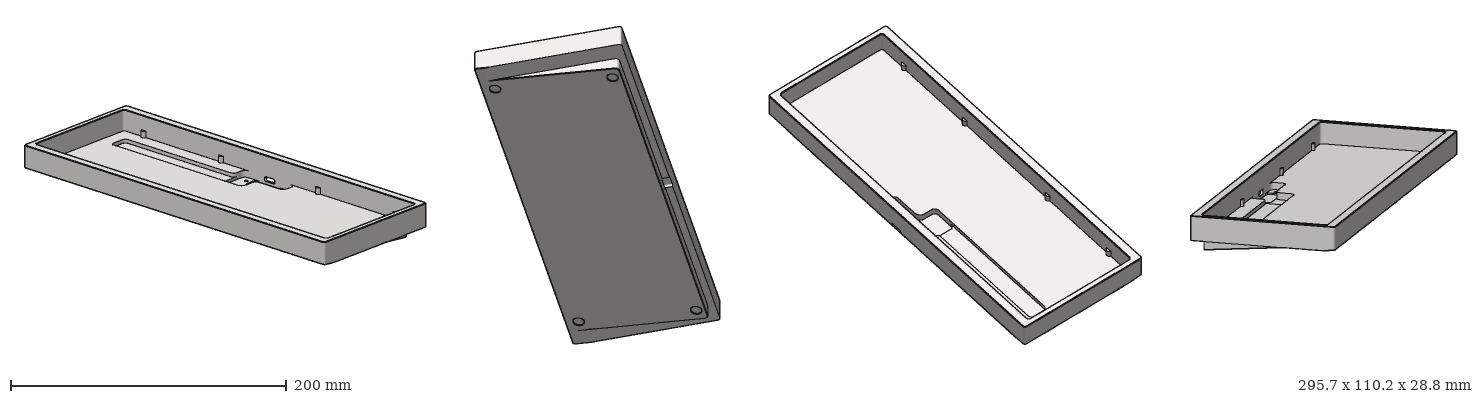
import cadquery as cq
import math

case_length = 295.7
case_width = 110.2
total_height = 28.76
case_corner_radius = 2.0
rim_chamfer = 0.5

side_wall = 4.7
end_wall = 7.4
cavity_depth = 16.5
cavity_corner_radius = 2.0
cavity_length = case_length - 2 * side_wall
cavity_width = case_width - 2 * end_wall
cavity_back = cavity_width / 2
floor_top = total_height - cavity_depth

case_height = 18.6
case_bottom = total_height - case_height
tilt_angle = 6.0
foot_length = 268.4
foot_back_inset = 5.4
foot_corner_radius = 3.0
foot_back = case_width / 2 - foot_back_inset
base_run = foot_back + case_width / 2
base_slope = math.tan(math.radians(tilt_angle))
base_chamfer = 0.5
base_back_z = -base_chamfer * base_slope
plane_tolerance = 0.01

pad_diameter = 8.3
pad_depth = 1.0
pad_spacing_x = 249.4
pad_back_inset = 7.0
pad_front_inset = 10.0

post_radius = 2.4
post_centre_y = 48.2
post_height = 5.0
inner_post_x = 47.7
back_outer_post_x = 123.9
front_outer_post_x = 118.0

board_length = 49.2
board_front = 36.1
board_depth = 5.3
bay_length = 27.8
bay_depth = 6.3
pocket_corner_radius = 3.5
stem_inside_radius = 5.0
screw_diameter = 2.5
screw_spacing = 35.6
screw_y = 42.0
screw_depth = 4.0

stem_right = -3.0
channel_left = -131.5
channel_front = 20.9
channel_depth = 3.0
channel_corner_radius = 3.0

connector_width = 9.8
connector_height = 3.6
connector_corner_radius = 1.0
connector_drop = 2.0


def box(x_min, x_max, y_min, y_max, z_min, z_max):
    """Axis-aligned box given by its limits."""
    blank = cq.Workplane("XY").box(x_max - x_min, y_max - y_min, z_max - z_min, centered=False)
    return blank.translate((x_min, y_min, z_min))


def floor_pocket(x_min, x_max, y_min, y_max, depth):
    """Box that reaches from the tray floor down to the given depth."""
    return box(x_min, x_max, y_min, y_max, floor_top - depth, floor_top)


def make_case():
    """Rectangular case with rounded corners on a wedge foot with a sloped, chamfered base."""
    case = box(-case_length / 2, case_length / 2, -case_width / 2, case_width / 2, case_bottom, total_height)
    case = case.edges("|Z").fillet(case_corner_radius)

    foot = box(-foot_length / 2, foot_length / 2, -case_width / 2, foot_back, base_back_z, case_bottom)
    foot = foot.edges("|Z and >Y").fillet(foot_corner_radius)

    front_z = base_back_z + base_run * base_slope
    below_base = (
        cq.Workplane("YZ")
        .polyline([(foot_back, base_back_z), (-case_width / 2, base_back_z), (-case_width / 2, front_z)])
        .close()
        .extrude(case_length / 2, both=True)
    )
    body = case.union(foot).cut(below_base)

    base_normal = cq.Vector(0, -base_slope, -1)
    base_edges = body.faces(cq.selectors.ParallelDirSelector(base_normal)).edges()
    return base_edges.filter(lambda edge: not lies_in_case_bottom(edge)).chamfer(base_chamfer)


def lies_in_case_bottom(edge):
    """True for an edge centred in the flat underside of the case."""
    return abs(edge.Center().z - case_bottom) < plane_tolerance


def cut_cavity(case):
    """Hollow out the open tray and chamfer the inner and outer edges of its rim."""
    cavity = box(
        -cavity_length / 2, cavity_length / 2, -cavity_back, cavity_back, floor_top, total_height
    )
    cavity = cavity.edges("|Z").fillet(cavity_corner_radius)
    return case.cut(cavity).faces(">Z").edges().chamfer(rim_chamfer)


def make_posts():
    """Round posts sunk more than half way into the long walls."""
    posts = cq.Workplane("XY", origin=(0, 0, floor_top))
    for y, outer_x in ((post_centre_y, back_outer_post_x), (-post_centre_y, front_outer_post_x)):
        for x in (-outer_x, -inner_post_x, inner_post_x, outer_x):
            posts = posts.moveTo(x, y).circle(post_radius)
    return posts.extrude(post_height)


def make_floor_pockets():
    """Board pocket, deeper bay, wiring stem and channel sunk into the tray floor."""
    board_left = -board_length / 2
    board = floor_pocket(board_left, -board_left, board_front, cavity_back, board_depth)
    stem = floor_pocket(board_left, stem_right, channel_front, cavity_back, board_depth)
    board = board.edges("|Z").fillet(pocket_corner_radius)
    stem = stem.edges("|Z").fillet(pocket_corner_radius)
    pockets = board.union(stem)
    wall_middle_z = floor_top - board_depth / 2
    inside_corner = cq.selectors.NearestToPointSelector((stem_right, board_front, wall_middle_z))
    pockets = pockets.edges("|Z").edges(inside_corner).fillet(stem_inside_radius)

    bay = floor_pocket(-bay_length / 2, bay_length / 2, board_front, cavity_back, bay_depth)
    bay = bay.edges("|Z").fillet(pocket_corner_radius)

    channel_right = board_left + 2 * pocket_corner_radius
    channel = floor_pocket(channel_left, channel_right, channel_front, board_front, channel_depth)
    channel = channel.edges("|Z and <X").fillet(channel_corner_radius)

    round_left = board_left - channel_corner_radius
    round_back = board_front + channel_corner_radius
    junction = floor_pocket(round_left, board_left, board_front, round_back, channel_depth)
    rounded_corner = (
        cq.Workplane("XY", origin=(round_left, round_back, floor_top - channel_depth))
        .circle(channel_corner_radius)
        .extrude(channel_depth)
    )
    junction = junction.cut(rounded_corner)

    return pockets.union(bay).union(channel).union(junction)


def make_screw_holes():
    """Blind screw holes at both ends of the board pocket."""
    return (
        cq.Workplane("XY", origin=(0, screw_y, floor_top - board_depth))
        .pushPoints([(-screw_spacing / 2, 0), (screw_spacing / 2, 0)])
        .circle(screw_diameter / 2)
        .extrude(-screw_depth)
    )


def make_connector_opening():
    """Rounded rectangular opening through the back wall."""
    opening = (
        cq.Workplane("XZ", origin=(0, case_width / 2, floor_top - connector_drop))
        .rect(connector_width, connector_height)
        .extrude(end_wall)
    )
    return opening.edges("|Y").fillet(connector_corner_radius)


def make_pad_recesses():
    """Four round recesses square to the sloped base."""
    slope_length = base_run / math.cos(math.radians(tilt_angle))
    pad_rows = (-pad_back_inset, pad_front_inset - slope_length)
    base = cq.Workplane("XY").pushPoints(
        [(x, y) for x in (-pad_spacing_x / 2, pad_spacing_x / 2) for y in pad_rows]
    )
    recesses = base.circle(pad_diameter / 2).extrude(pad_depth)
    return recesses.rotate((0, 0, 0), (1, 0, 0), -tilt_angle).translate((0, foot_back, base_back_z))


result = cut_cavity(make_case()).union(make_posts())
result = result.cut(make_floor_pockets()).cut(make_screw_holes())
result = result.cut(make_connector_opening()).cut(make_pad_recesses())